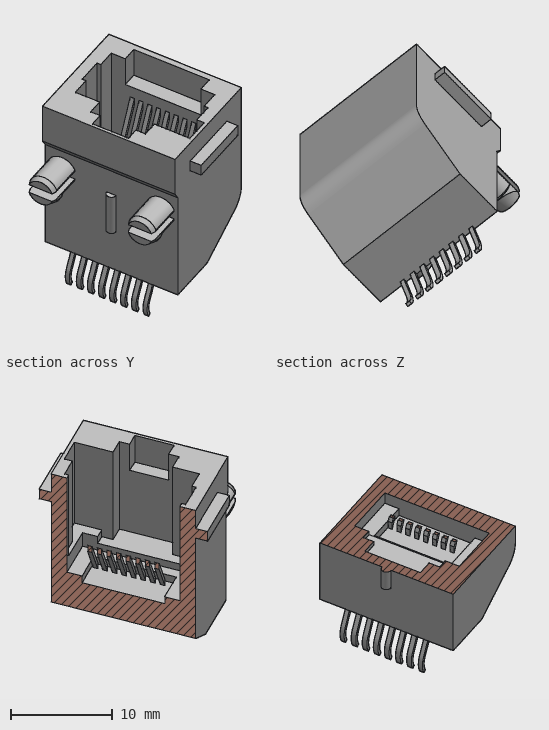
import cadquery as cq
import math


OVERALL_HEIGHT = 21.72
BODY_WIDTH = 15.27
BODY_DEPTH = 12.03
BODY_HEIGHT = 18.14
LIP = 0.52
COLLAR_HEIGHT = 4.56
COLLAR_TAPER = 0.85
BOTTOM_DEPTH = 5.54
BACK_SLOPE = 30.0
BACK_RADIUS = 2.5

OVERALL_WIDTH = 17.79
RAIL_HEIGHT = 1.28
RAIL_TOP_DROP = 2.35
RAIL_Y = (2.35, 9.27)

PLUG_HALF_WIDTH = 5.95
PLUG_Y = (4.02, 9.75)
PLUG_DEPTH = 12.16
PIT_HALF_WIDTH = 4.35
PIT_FRONT_Y = 5.04
PIT_DEPTH = 13.03
SHELF_BACK_Y = 11.35
SHELF_DEPTH = 3.37
LATCH_HALF_WIDTH = 3.15
LATCH_FRONT_Y = 1.24
LATCH_DEPTH = 11.3
KEY_FRONT_Y = 2.93
KEY_DEPTH = 10.43
KEY_RIGHT_X = 7.23
KEY_RIGHT_BACK_Y = 5.65
GROOVE_HALF_WIDTH = 6.39
GROOVE_BACK_Y = 7.75
GROOVE_LEFT_FRONT_Y = 4.95
NOTCH_HALF_WIDTH = 2.06
NOTCH_FRONT_Y = -0.2
NOTCH_DEPTH = 3.37
NOTCH_FALL = 0.09

CONTACT_COUNT = 8
CONTACT_ROW = 7.08
CONTACT_WIDTH = 0.48
CONTACT_THICKNESS = 0.35
CONTACT_TOP_DROP = 4.73
CONTACT_FRONT_Y = 6.7
CONTACT_ANGLE = 25.0

INNER_PIN_COUNT = 6
INNER_PIN_ROW = 6.35
PIN_WIDTH = 0.55
OUTER_PIN_WIDTH = 0.48
OUTER_PIN_X = 4.47
PIN_THICKNESS = 0.35
PIN_DROP = OVERALL_HEIGHT - BODY_HEIGHT
PIN_LEAN = 27.0
PIN_HOOK = 30.0
PIN_RADIUS = 2.15

POST_X = 5.71
POST_DROP = 7.86
POST_RADIUS = 1.63
POST_HALF_WIDTH = 1.5
POST_LENGTH = 4.05
POST_TIP_LENGTH = 0.59
POST_TIP_RADIUS = 1.41
SLOT_HEIGHT = 1.0
BARB_START = 2.35
BARB_RADIUS = 1.52

RIB_RADIUS = 0.55
RIB_TOP_DROP = 8.36
RIB_LENGTH = 4.73

EMBED = 0.22


def box(x, y, z):
    """Box spanning the given (low, high) ranges."""
    size = (x[1] - x[0], y[1] - y[0], z[1] - z[0])
    return cq.Workplane("XY").box(*size, centered=False).translate((x[0], y[0], z[0]))


def row_places(count, row_length):
    """X of each item in an evenly spaced row centred on X = 0."""
    pitch = row_length / (count - 1)
    return [index * pitch - row_length / 2 for index in range(count)]


def side_profile(points, width):
    """Closed (Y, Z) polygon extruded to the given width about X = 0."""
    return cq.Workplane("YZ").polyline(points).close().extrude(width / 2, both=True)


def make_housing():
    slope_rise = (BODY_DEPTH - BOTTOM_DEPTH) * math.tan(math.radians(BACK_SLOPE))
    collar_bottom = BODY_HEIGHT - COLLAR_HEIGHT
    profile = [
        (0, 0),
        (BOTTOM_DEPTH, 0),
        (BODY_DEPTH, slope_rise),
        (BODY_DEPTH, BODY_HEIGHT),
        (-LIP, BODY_HEIGHT),
        (-LIP, collar_bottom),
        (0, collar_bottom - COLLAR_TAPER),
    ]
    housing = side_profile(profile, BODY_WIDTH)
    back_edge = cq.selectors.NearestToPointSelector((0, BODY_DEPTH, slope_rise))
    return housing.edges("|X").edges(back_edge).fillet(BACK_RADIUS)


def make_rails():
    top = BODY_HEIGHT - RAIL_TOP_DROP
    half_width = OVERALL_WIDTH / 2
    return box((-half_width, half_width), RAIL_Y, (top - RAIL_HEIGHT, top))


def pocket(x, y, depth):
    return box(x, y, (BODY_HEIGHT - depth, BODY_HEIGHT))


def make_opening():
    plug_front, plug_back = PLUG_Y
    pit_x = (-PIT_HALF_WIDTH, PIT_HALF_WIDTH)
    latch_x = (-LATCH_HALF_WIDTH, LATCH_HALF_WIDTH)
    opening = pocket((-PLUG_HALF_WIDTH, PLUG_HALF_WIDTH), PLUG_Y, PLUG_DEPTH)
    opening = opening.union(pocket(pit_x, (PIT_FRONT_Y, plug_back), PIT_DEPTH))
    opening = opening.union(pocket(pit_x, (plug_back, SHELF_BACK_Y), SHELF_DEPTH))
    opening = opening.union(pocket(pit_x, (KEY_FRONT_Y, plug_front), LATCH_DEPTH))
    opening = opening.union(pocket(latch_x, (LATCH_FRONT_Y, KEY_FRONT_Y), LATCH_DEPTH))

    left_ledge_x = (-PLUG_HALF_WIDTH, -PIT_HALF_WIDTH)
    right_ledge_x = (PIT_HALF_WIDTH, KEY_RIGHT_X)
    key_slot_x = (PLUG_HALF_WIDTH, KEY_RIGHT_X)
    left_groove_x = (-GROOVE_HALF_WIDTH, -PLUG_HALF_WIDTH)
    right_groove_x = (PLUG_HALF_WIDTH, GROOVE_HALF_WIDTH)
    opening = opening.union(pocket(left_ledge_x, (KEY_FRONT_Y, plug_front), KEY_DEPTH))
    opening = opening.union(pocket(right_ledge_x, (KEY_FRONT_Y, plug_front), KEY_DEPTH))
    opening = opening.union(pocket(key_slot_x, (plug_front, KEY_RIGHT_BACK_Y), KEY_DEPTH))
    opening = opening.union(pocket(left_groove_x, (GROOVE_LEFT_FRONT_Y, GROOVE_BACK_Y), KEY_DEPTH))
    opening = opening.union(pocket(right_groove_x, (KEY_RIGHT_BACK_Y, GROOVE_BACK_Y), KEY_DEPTH))

    notch_floor = BODY_HEIGHT - NOTCH_DEPTH
    notch_profile = [
        (NOTCH_FRONT_Y, notch_floor - NOTCH_FALL),
        (LATCH_FRONT_Y, notch_floor),
        (LATCH_FRONT_Y, BODY_HEIGHT),
        (NOTCH_FRONT_Y, BODY_HEIGHT),
    ]
    return opening.union(side_profile(notch_profile, 2 * NOTCH_HALF_WIDTH))


def make_contacts():
    """Straight springs that slant from the back wall down into the opening."""
    wall_y = PLUG_Y[1]
    slope = math.tan(math.radians(CONTACT_ANGLE))
    top = BODY_HEIGHT - CONTACT_TOP_DROP
    bottom = top - (wall_y - CONTACT_FRONT_Y) / slope
    vertical_thickness = CONTACT_THICKNESS / math.sin(math.radians(CONTACT_ANGLE))
    root_y = wall_y + EMBED
    root_z = top + EMBED / slope
    contact = side_profile(
        [
            (CONTACT_FRONT_Y, bottom),
            (root_y, root_z),
            (root_y, root_z - vertical_thickness),
            (CONTACT_FRONT_Y, bottom - vertical_thickness),
        ],
        CONTACT_WIDTH,
    )
    contacts = cq.Workplane("XY")
    for x in row_places(CONTACT_COUNT, CONTACT_ROW):
        contacts = contacts.add(contact.translate((x, 0, 0)))
    return contacts.combine()


def make_pin(width):
    """Pin that leaves the bottom leaning forwards and bends back at its end."""
    lean = math.radians(PIN_LEAN)
    hook = math.radians(PIN_HOOK)
    bend_start_z = -PIN_DROP + PIN_RADIUS * (math.sin(lean) + math.sin(hook))
    bend_start_y = bend_start_z * math.tan(lean)
    center_y = bend_start_y + PIN_RADIUS * math.cos(lean)
    center_z = bend_start_z - PIN_RADIUS * math.sin(lean)
    inner_radius = PIN_RADIUS - PIN_THICKNESS

    def on_bend(radius, angle):
        return (center_y - radius * math.cos(angle), center_z + radius * math.sin(angle))

    root_shift = EMBED * math.tan(lean)
    root_thickness = PIN_THICKNESS / math.cos(lean)
    profile = (
        cq.Workplane("YZ")
        .moveTo(root_shift, EMBED)
        .lineTo(*on_bend(PIN_RADIUS, lean))
        .threePointArc(on_bend(PIN_RADIUS, 0), on_bend(PIN_RADIUS, -hook))
        .lineTo(*on_bend(inner_radius, -hook))
        .threePointArc(on_bend(inner_radius, 0), on_bend(inner_radius, lean))
        .lineTo(root_shift + root_thickness, EMBED)
        .close()
    )
    return profile.extrude(width / 2, both=True)


def make_pins():
    pins = cq.Workplane("XY")
    for x in row_places(INNER_PIN_COUNT, INNER_PIN_ROW):
        pins = pins.add(make_pin(PIN_WIDTH).translate((x, 0, 0)))
    for x in (-OUTER_PIN_X, OUTER_PIN_X):
        pins = pins.add(make_pin(OUTER_PIN_WIDTH).translate((x, 0, 0)))
    return pins.combine()


def rod(radius, start, z):
    """Round rod along Y at height z, from start to the tip of a post."""
    circle = cq.Workplane("XZ", origin=(0, start, z)).circle(radius)
    return circle.extrude(POST_LENGTH + start)


def make_post():
    """Rod along -Y with flattened sides and a tapered tip, split by a level slot.

    The barb is a second rod, centred on the lower slot face so that it hangs below the first.
    """
    half_slot = SLOT_HEIGHT / 2
    post = rod(POST_RADIUS, EMBED, 0).union(rod(BARB_RADIUS, -BARB_START, -half_slot))

    taper = (POST_RADIUS - POST_TIP_RADIUS) / POST_TIP_LENGTH
    cone_base_radius = POST_TIP_RADIUS + taper * (POST_LENGTH + EMBED)
    cone = (
        cq.Workplane("XY")
        .moveTo(0, EMBED)
        .lineTo(cone_base_radius, EMBED)
        .lineTo(POST_TIP_RADIUS, -POST_LENGTH)
        .lineTo(0, -POST_LENGTH)
        .close()
        .revolve(360, (0, 0), (0, 1))
    )

    reach = 2 * POST_RADIUS
    length = (-POST_LENGTH - EMBED, 2 * EMBED)
    flats = box((-POST_HALF_WIDTH, POST_HALF_WIDTH), length, (-reach, reach))
    slot = box((-reach, reach), (-POST_LENGTH - EMBED, 0), (-half_slot, half_slot))
    return post.intersect(flats).intersect(cone).cut(slot)


def make_rib():
    top = BODY_HEIGHT - RIB_TOP_DROP
    return (
        cq.Workplane("XY", origin=(0, 0, top - RIB_LENGTH))
        .circle(RIB_RADIUS)
        .extrude(RIB_LENGTH)
    )


result = make_housing().union(make_rails()).cut(make_opening())
result = result.union(make_contacts()).union(make_pins()).union(make_rib())
for post_x in (-POST_X, POST_X):
    result = result.union(make_post().translate((post_x, 0, BODY_HEIGHT - POST_DROP)))